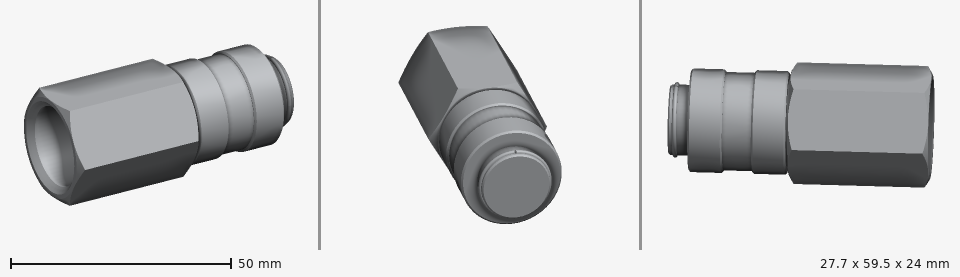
import cadquery as cq
import math

length = 59.5

hex_across_flats = 24.0
hex_length = 32.0
hex_corner_angle = 30.0
hex_face_radius = 11.9
bore_radius = 9.45
bore_mouth_radius = 10.9
bore_mouth_depth = 1.4
bore_depth = 13.25

relief_radius = 9.95
collar_radius = 11.8
waist_radius = 11.2
collar_chamfer = 0.4
collar_length = 7.85
lower_collar_start = 32.5
upper_collar_end = 54.8
lower_collar_end = lower_collar_start + collar_length
upper_collar_start = upper_collar_end - collar_length

spigot_radius = 8.05
spigot_chamfer = 0.35
ring_wire_radius = 0.55
ring_centre_radius = 8.05
ring_position = length - 1.5
ring_gap = 0.5


def cylinder(radius, start, end):
    """Cylinder on the Y axis between two positions."""
    return cq.Workplane("XZ", origin=(0, start, 0)).circle(radius).extrude(start - end)


def revolve_profile(profile):
    """Turn a profile, drawn as (radius, position), about the Y axis."""
    return profile.revolve(360, (0, 0, 0), (0, 1, 0))


def make_hex():
    """Hexagonal prism with its corners turned to a cone at both ends."""
    corner_radius = hex_across_flats / math.sqrt(3)
    corner_drop = (corner_radius - hex_face_radius) * math.tan(math.radians(hex_corner_angle))
    prism = cq.Workplane("XZ").polygon(6, 2 * corner_radius).extrude(-hex_length)
    envelope = revolve_profile(
        cq.Workplane("XY").polyline([
            (0, 0),
            (hex_face_radius, 0),
            (corner_radius, corner_drop),
            (corner_radius, hex_length - corner_drop),
            (hex_face_radius, hex_length),
            (0, hex_length),
        ]).close()
    )
    return prism.intersect(envelope)


def make_collar(start):
    """Raised band with chamfered rims."""
    collar = cylinder(collar_radius, start, start + collar_length)
    return collar.edges("%CIRCLE").chamfer(collar_chamfer)


def make_bore():
    """Blind bore with a conical mouth."""
    return revolve_profile(
        cq.Workplane("XY").polyline([
            (0, 0),
            (bore_mouth_radius, 0),
            (bore_radius, bore_mouth_depth),
            (bore_radius, bore_depth),
            (0, bore_depth),
        ]).close()
    )


def make_wire_torus():
    """Full torus of the snap ring wire, which also forms the ring groove."""
    return revolve_profile(
        cq.Workplane("XY").moveTo(ring_centre_radius, ring_position).circle(ring_wire_radius)
    )


def make_body():
    """Hex socket, turned sleeve and grooved spigot in one piece."""
    relief = cylinder(relief_radius, hex_length, lower_collar_start)
    waist = cylinder(waist_radius, lower_collar_end, upper_collar_start)
    spigot = cylinder(spigot_radius, upper_collar_end, length).faces(">Y").chamfer(spigot_chamfer)
    body = make_hex().union(relief).union(waist).union(spigot)
    for start in (lower_collar_start, upper_collar_start):
        body = body.union(make_collar(start))
    return body.cut(make_bore()).cut(make_wire_torus())


def make_snap_ring():
    """Round wire ring, split at the top (+Z)."""
    gap_size = 4 * ring_wire_radius
    gap = cq.Workplane("XY").box(ring_gap, gap_size, gap_size)
    return make_wire_torus().cut(gap.translate((0, ring_position, ring_centre_radius)))


body = make_body()
snap_ring = make_snap_ring()
result = cq.Compound.makeCompound([body.val(), snap_ring.val()])